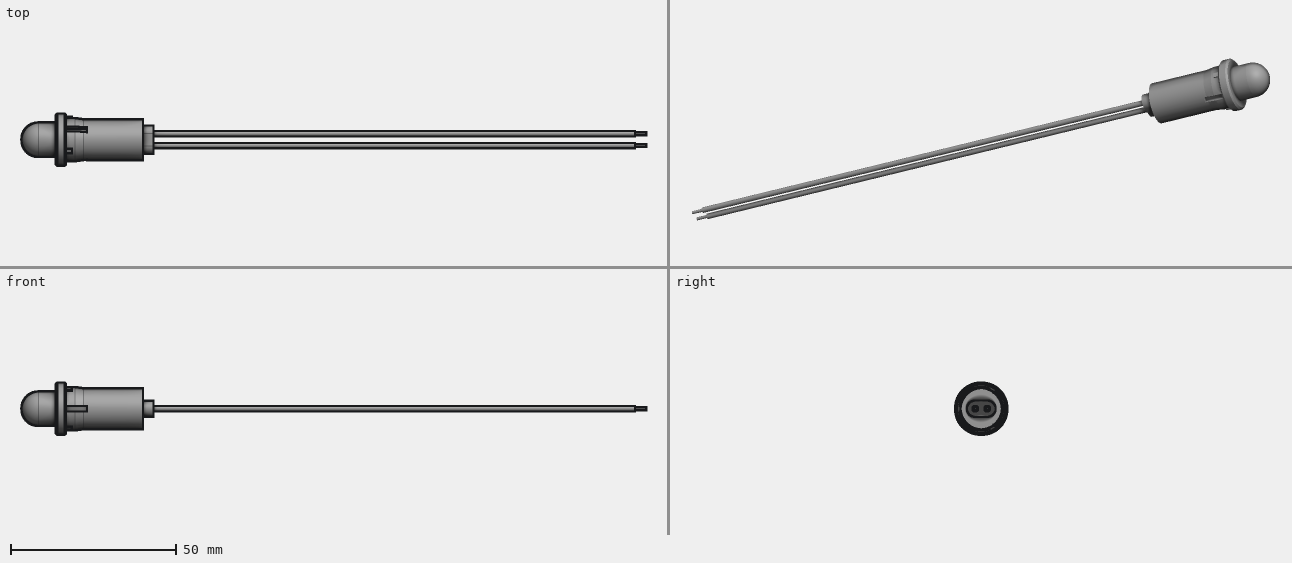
import cadquery as cq
import math

flange_front = 10.4
flange_back = 13.6
tab_end = 15.3
taper_start = 16.3
taper_end = 19.0
slot_end = 19.9
barrel_end = 36.9
plug_end = 40.1
insulation_end = 185.7
wire_end = 189.1

lens_radius = 5.3

flange_radius = 8.0
flange_chamfer = 0.5
collar_radius = 6.6
barrel_radius = 6.2
tab_radius = 7.0
tab_width = 1.5
slot_width = 1.7
slot_floor_radius = 5.0
key_count = 3
key_pitch = 360 / key_count

wire_spacing = 3.5
plug_height = 5.0
plug_width = 8.7
insulation_radius = 0.85
conductor_radius = 0.47


def disc(radius, x_start, x_end):
    """Cylinder on the X axis between two stations."""
    return cq.Workplane("YZ", origin=(x_start, 0, 0)).circle(radius).extrude(x_end - x_start)


def radial_block(x_start, x_end, r_inner, r_outer, width, angle):
    """Straight block standing out from the axis; angle runs from +Y towards +Z."""
    block = cq.Workplane("XY").box(
        x_end - x_start, r_outer - r_inner, width, centered=(False, False, True)
    )
    return block.translate((x_start, r_inner, 0)).rotate((0, 0, 0), (1, 0, 0), angle)


def make_lens():
    """Domed lens: a hemisphere continuing into a straight cylinder."""
    dome_rise = lens_radius * math.sqrt(0.5)
    return (
        cq.Workplane("XY")
        .moveTo(0, 0)
        .threePointArc((lens_radius - dome_rise, dome_rise), (lens_radius, lens_radius))
        .lineTo(flange_front, lens_radius)
        .lineTo(flange_front, 0)
        .close()
        .revolve(360, (0, 0, 0), (1, 0, 0))
    )


def make_housing():
    """Barrel and chamfered flange with a tapered collar, three snap tabs and three slots."""
    outline = [
        (flange_back, 0),
        (flange_back, collar_radius),
        (taper_start, collar_radius),
        (taper_end, barrel_radius),
        (barrel_end, barrel_radius),
        (barrel_end, 0),
    ]
    barrel = cq.Workplane("XY").polyline(outline).close().revolve(360, (0, 0, 0), (1, 0, 0))
    flange = disc(flange_radius, flange_front, flange_back).edges().chamfer(flange_chamfer)
    housing = barrel.union(flange)
    for index in range(key_count):
        tab_angle = index * key_pitch
        slot_angle = tab_angle + key_pitch / 2
        tab = radial_block(flange_back, tab_end, barrel_radius, tab_radius, tab_width, tab_angle)
        slot = radial_block(
            flange_back, slot_end, slot_floor_radius, flange_radius, slot_width, slot_angle
        )
        housing = housing.union(tab).cut(slot)
    return housing


def make_plug():
    """Stadium-shaped plug closing the rear of the barrel."""
    return (
        cq.Workplane("YZ", origin=(barrel_end, 0, 0))
        .slot2D(plug_width, plug_height)
        .extrude(plug_end - barrel_end)
    )


def make_wire(y_position):
    """Insulated lead with a short bare conductor at its free end."""
    insulation = disc(insulation_radius, plug_end, insulation_end)
    conductor = disc(conductor_radius, insulation_end, wire_end)
    return insulation.union(conductor).translate((0, y_position, 0))


lens = make_lens()
housing = make_housing()
plug = make_plug()
wires = [make_wire(side * wire_spacing / 2) for side in (-1, 1)]

result = cq.Compound.makeCompound(
    [lens.val(), housing.val(), plug.val(), *[wire.val() for wire in wires]]
)